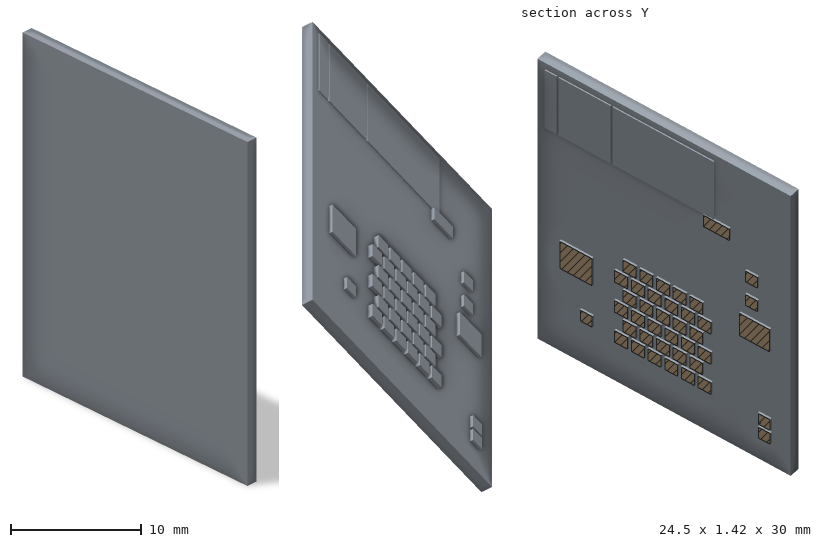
import cadquery as cq

board_width = 24.5
board_depth = 1.0
board_height = 30.0

pad_rise = 0.42
component_rise = 0.3
film_rise = 0.12

pad_rows = 6
pads_in_long_row = 6
pad_size = 1.3
pad_field_size = 9.35
pad_pitch = (pad_field_size - pad_size) / (pad_rows - 1)
pad_field_left = 7.55
pad_field_bottom = 4.32

small_component_size = 1.2
outer_column_left = 1.83
inner_column_left = 3.05
outer_column_bottoms = [2.43, 3.9]
inner_column_bottoms = [15.9, 18.42]
right_column_bottoms = [4.62]

left_chip_left = 1.9
left_chip_bottom = 12.3
left_chip_width = 2.95
left_chip_height = 2.43

right_chip_left = 19.05
right_chip_bottom = 9.05
right_chip_width = 3.18
right_chip_height = 2.95

bar_left = 5.8
bar_bottom = 21.9
bar_width = 2.52
bar_height = 1.25

film_bottom = bar_bottom + bar_height
film_height = 6.18
film_gap = 0.18
film_left = 7.35
film_widths = [9.8, 5.05, 1.17]


def block(left, bottom, width, height, rise):
    """Rectangular block standing on the back face, rooted through the full board depth."""
    solid = cq.Workplane("XY").box(width, board_depth + rise, height, centered=False)
    return solid.translate((left, 0, bottom))


def pad_row(row):
    """One row of the pad field, counted from the bottom."""
    is_short = row % 2 == 1
    count = pads_in_long_row - 1 if is_short else pads_in_long_row
    start = pad_field_left + (pad_pitch / 2 if is_short else 0)
    bottom = pad_field_bottom + row * pad_pitch
    return [block(start + i * pad_pitch, bottom, pad_size, pad_size, pad_rise) for i in range(count)]


def component_column(left, bottoms):
    """Small square components sharing one left edge."""
    size = small_component_size
    return [block(left, bottom, size, size, component_rise) for bottom in bottoms]


def film_panels():
    """Film panels laid from left to right with equal gaps."""
    panels = []
    left = film_left
    for width in film_widths:
        panels.append(block(left, film_bottom, width, film_height, film_rise))
        left += width + film_gap
    return panels


raised = film_panels()
for row in range(pad_rows):
    raised += pad_row(row)
raised += component_column(outer_column_left, outer_column_bottoms)
raised += component_column(inner_column_left, inner_column_bottoms)
raised += component_column(right_chip_left, right_column_bottoms)
raised.append(block(left_chip_left, left_chip_bottom, left_chip_width, left_chip_height, component_rise))
raised.append(block(right_chip_left, right_chip_bottom, right_chip_width, right_chip_height, component_rise))
raised.append(block(bar_left, bar_bottom, bar_width, bar_height, component_rise))

result = cq.Workplane("XY").box(board_width, board_depth, board_height, centered=False)
for feature in raised:
    result = result.union(feature)
result = result.clean()